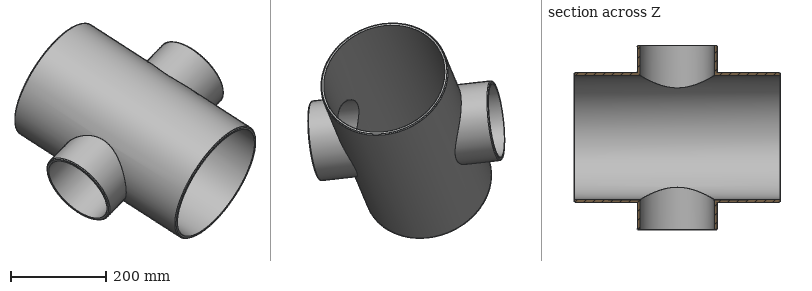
import cadquery as cq

run_length = 432.0
run_outer_diameter = 273.0
run_wall = 6.5
branch_span = 387.0
branch_outer_diameter = 168.5
branch_wall = 6.5
bevel_radial = 2.0
bevel_axial = 2.0


def centred_cylinder(plane, diameter, length):
    """Cylinder centred on the origin along the normal of the plane."""
    return cq.Workplane(plane).circle(diameter / 2).extrude(length / 2, both=True)


def bevelled_cylinder(plane, diameter, length):
    """Centred cylinder with a weld bevel around both ends."""
    radius = diameter / 2
    half_length = length / 2
    return (
        cq.Workplane(plane)
        .moveTo(0, -half_length)
        .lineTo(radius - bevel_radial, -half_length)
        .lineTo(radius, -half_length + bevel_axial)
        .lineTo(radius, half_length - bevel_axial)
        .lineTo(radius - bevel_radial, half_length)
        .lineTo(0, half_length)
        .close()
        .revolve(360, (0, 0), (0, 1))
    )


run_body = bevelled_cylinder("YX", run_outer_diameter, run_length)
branch_body = bevelled_cylinder("XY", branch_outer_diameter, branch_span)

run_bore = centred_cylinder("YZ", run_outer_diameter - 2 * run_wall, run_length)
branch_bore = centred_cylinder("XZ", branch_outer_diameter - 2 * branch_wall, branch_span)

result = run_body.union(branch_body).cut(run_bore).cut(branch_bore)